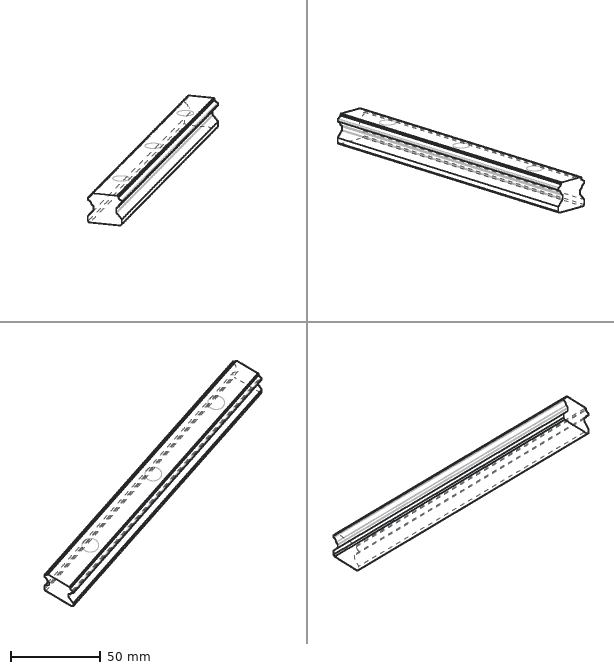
import cadquery as cq

length = 180.0
width = 20.0
height = 17.5
half_width = width / 2

foot_chamfer = 0.9
foot_top = 3.8

waist_half_width = 6.7
waist_bottom = 7.5
waist_top = 9.9
waist_bottom_fillet = 0.7
waist_top_fillet = 0.5

groove_radius = 2.9
groove_half_width = 8.0
lower_groove_bottom = 11.0
lip_bottom = 13.3
lip_top = 14.8
upper_groove_top = 16.4
lip_top_fillet = 0.7
lip_bottom_fillet = 0.4
groove_corner_fillet = 0.4
top_chamfer = 0.5

plug_count = 3
plug_spacing = length / plug_count
plug_diameter = 9.4
plug_depth = 1.8

pick_margin = 0.09


def half_rail():
    """The +X half of the rail with sharp corners, extruded along Y."""
    return (
        cq.Workplane("XZ")
        .lineTo(half_width - foot_chamfer, 0)
        .lineTo(half_width, foot_chamfer)
        .lineTo(half_width, foot_top)
        .lineTo(waist_half_width, waist_bottom)
        .lineTo(waist_half_width, waist_top)
        .lineTo(groove_half_width, lower_groove_bottom)
        .radiusArc((half_width, lip_bottom), groove_radius)
        .lineTo(half_width, lip_top)
        .radiusArc((groove_half_width, upper_groove_top), groove_radius)
        .lineTo(groove_half_width, height - top_chamfer)
        .lineTo(groove_half_width - top_chamfer, height)
        .lineTo(0, height)
        .close()
        .extrude(length / 2, both=True)
    )


def fillet_long_edge(body, x, z, radius):
    """Round the edge that runs along Y at the given X and Z."""
    edge_box = cq.selectors.BoxSelector(
        (x - pick_margin, -length, z - pick_margin),
        (x + pick_margin, length, z + pick_margin),
    )
    return body.edges(edge_box).fillet(radius)


def flush_plugs():
    """Discs along the centre line whose tops lie in the top face of the rail."""
    return (
        cq.Workplane("XY", origin=(0, 0, height))
        .rarray(1.8, plug_spacing, 1, plug_count)
        .circle(plug_diameter / 2)
        .extrude(-plug_depth)
    )


right_half = half_rail()
for edge_x, edge_z, edge_fillet in (
    (waist_half_width, waist_bottom, waist_bottom_fillet),
    (waist_half_width, waist_top, waist_top_fillet),
    (groove_half_width, lower_groove_bottom, groove_corner_fillet),
    (half_width, lip_bottom, lip_bottom_fillet),
    (half_width, lip_top, lip_top_fillet),
):
    right_half = fillet_long_edge(right_half, edge_x, edge_z, edge_fillet)

rail = right_half.union(right_half.mirror("YZ")).clean()

result = rail.union(flush_plugs(), clean=False)